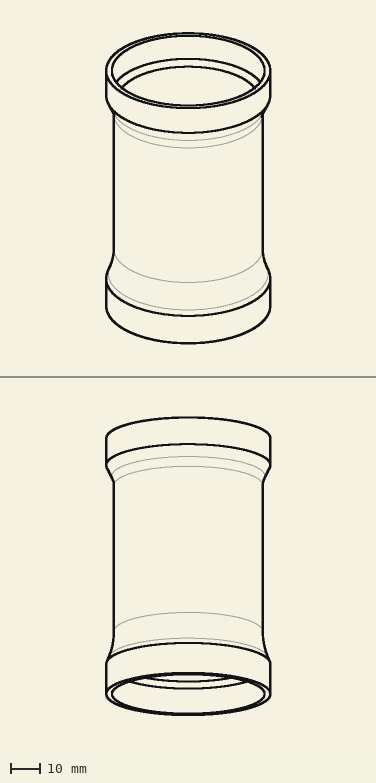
import cadquery as cq
import math

length = 90.0
collar_radius = 28.0
tube_radius = 25.4

bore_radius = 24.0
socket_radius = 26.0
socket_depth = 8.8
seat_height = socket_radius - bore_radius

top_collar_height = 9.45
top_cone_height = 3.9
top_blend_height = 3.2
bottom_collar_height = 10.5
bottom_cone_height = 1.9
bottom_blend_height = 9.5


def flare_angle(cone_height, blend_height):
    """Cone angle from the axis that keeps the arc tangent to both cone and tube.

    The radial step is blend_height * tan(angle / 2) + cone_height * tan(angle).
    The angle is found by bisection.
    """
    bisection_steps = 50
    low = 0.0
    high = math.pi / 4
    for _ in range(bisection_steps):
        angle = (low + high) / 2
        step = blend_height * math.tan(angle / 2) + cone_height * math.tan(angle)
        if step < collar_radius - tube_radius:
            low = angle
        else:
            high = angle
    return angle


def blend_points(cone_height, blend_height):
    """Radius at the cone end, then radius and height above the tube at mid-arc."""
    angle = flare_angle(cone_height, blend_height)
    arc_radius = blend_height / math.sin(angle)
    cone_end_radius = collar_radius - cone_height * math.tan(angle)
    middle_radius = tube_radius + arc_radius * (1 - math.cos(angle / 2))
    middle_height = arc_radius * math.sin(angle / 2)
    return cone_end_radius, middle_radius, middle_height


def make_body():
    """Solid of revolution bounded by the outer profile."""
    bottom_end, bottom_middle, bottom_rise = blend_points(bottom_cone_height, bottom_blend_height)
    top_end, top_middle, top_rise = blend_points(top_cone_height, top_blend_height)
    bottom_cone_z = bottom_collar_height + bottom_cone_height
    bottom_tube_z = bottom_cone_z + bottom_blend_height
    top_collar_z = length - top_collar_height
    top_cone_z = top_collar_z - top_cone_height
    top_tube_z = top_cone_z - top_blend_height
    return (
        cq.Workplane("XZ")
        .lineTo(collar_radius, 0)
        .lineTo(collar_radius, bottom_collar_height)
        .lineTo(bottom_end, bottom_cone_z)
        .threePointArc((bottom_middle, bottom_tube_z - bottom_rise), (tube_radius, bottom_tube_z))
        .lineTo(tube_radius, top_tube_z)
        .threePointArc((top_middle, top_tube_z + top_rise), (top_end, top_cone_z))
        .lineTo(collar_radius, top_collar_z)
        .lineTo(collar_radius, length)
        .lineTo(0, length)
        .close()
        .revolve(360, (0, 0), (0, 1))
    )


def make_cavity():
    """Through bore with a socket and conical seat at both ends."""
    seat_end = socket_depth + seat_height
    return (
        cq.Workplane("XZ")
        .lineTo(socket_radius, 0)
        .lineTo(socket_radius, socket_depth)
        .lineTo(bore_radius, seat_end)
        .lineTo(bore_radius, length - seat_end)
        .lineTo(socket_radius, length - socket_depth)
        .lineTo(socket_radius, length)
        .lineTo(0, length)
        .close()
        .revolve(360, (0, 0), (0, 1))
    )


result = make_body().cut(make_cavity())